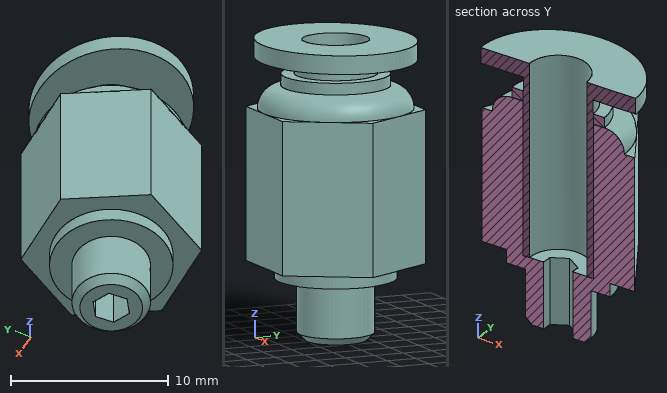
import cadquery as cq

stud_length = 4.0
shoulder_height = 1.0
hex_height = 10.0
dome_height = 1.5
collar_height = 0.75
neck_height = 1.0
flange_height = 1.2

stud_diameter = 5.0
stud_chamfer = 0.5
shoulder_diameter = 7.85
hex_across_flats = 10.0
socket_across_corners = 2.5
socket_turn = -3

flange_length = 11.7
flange_width = 10.2
sleeve_diameter = 5.3
tube_bore_diameter = 4.3
collar_diameter = 7

shoulder_bottom = stud_length
hex_bottom = shoulder_bottom + shoulder_height
hex_top = hex_bottom + hex_height
dome_top = hex_top + dome_height
collar_top = dome_top + collar_height
flange_bottom = collar_top + neck_height
flange_top = flange_bottom + flange_height
sleeve_bottom = hex_bottom


def cylinder(diameter, bottom, top):
    """Upright cylinder on the Z axis between two levels."""
    return cq.Workplane("XY").workplane(offset=bottom).circle(diameter / 2).extrude(top - bottom)


def hexagon(across_corners, bottom, top):
    """Upright hexagonal prism with two corners on the X axis."""
    return cq.Workplane("XY").workplane(offset=bottom).polygon(6, across_corners).extrude(top - bottom)


def make_housing():
    """Hexagonal body with a rounded top, a chamfered stud and a sleeve recess."""
    stud = cylinder(stud_diameter, 0, shoulder_bottom).faces("<Z").chamfer(stud_chamfer)
    shoulder = cylinder(shoulder_diameter, shoulder_bottom, hex_bottom)

    hex_flat_length = hex_across_flats / 3**0.5
    hex_body = hexagon(2 * hex_flat_length, hex_bottom, hex_top)

    dome = cylinder(hex_across_flats, hex_bottom, dome_top).faces(">Z").edges().fillet(dome_height)

    recess = cylinder(sleeve_diameter, sleeve_bottom, dome_top)
    socket = hexagon(socket_across_corners, 0, sleeve_bottom).rotate((0, 0, 0), (0, 0, 1), 90 + socket_turn)
    return hex_body.union(dome).union(shoulder).union(stud).cut(recess).cut(socket)


def make_collar():
    """Ring on top of the dome, around the sleeve."""
    ring = cylinder(collar_diameter, dome_top, collar_top)
    return ring.cut(cylinder(sleeve_diameter, dome_top, collar_top))


def make_release_sleeve():
    """Tube with an oval push flange at its upper end."""
    tube = cylinder(sleeve_diameter, sleeve_bottom, flange_bottom)
    flange = (
        cq.Workplane("XY")
        .workplane(offset=flange_bottom)
        .ellipse(flange_length / 2, flange_width / 2)
        .extrude(flange_height)
    )
    bore = cylinder(tube_bore_diameter, sleeve_bottom, flange_top)
    return tube.union(flange).cut(bore)


housing = make_housing()
collar = make_collar()
release_sleeve = make_release_sleeve()

bodies = [housing, collar, release_sleeve]
result = cq.Compound.makeCompound([body.solids().val() for body in bodies])